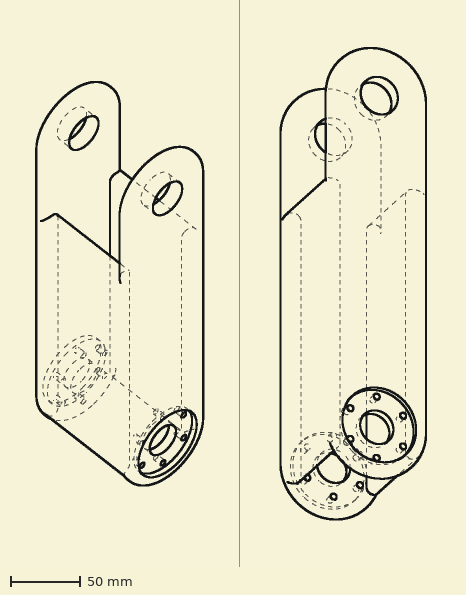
import cadquery as cq
import math

length = 330.2
width = 101.7
depth = 76.3

wall = 12.7
end_radius = depth / 2
bottom_axis_z = end_radius
top_axis_z = length - end_radius
gap = width - 2 * wall
web_spacing = depth - 2 * wall
web_bottom_z = 20.5
web_top_z = length - width

outer_fillet = 5.5
inner_fillet = 5.0

top_bore = 28.7
bottom_bore = 25.8
recess_diameter = 57.0
recess_depth = 5.0
bolt_hole = 4.5
bolt_circle = 47.2
bolt_count = 6

tolerance = 0.03


def x_cylinder(diameter, z, x_start, x_length):
    """Cylinder along X, starting at x_start, with its axis at height z."""
    return (
        cq.Workplane("YZ", origin=(x_start, 0, z))
        .circle(diameter / 2)
        .extrude(x_length)
    )


def rounded_bar():
    """Solid bar with semicircular ends and rounded outer side edges."""
    return (
        cq.Workplane("YZ", origin=(-width / 2, 0, length / 2))
        .slot2D(length, depth, 90)
        .extrude(width)
        .faces("<X or >X")
        .edges()
        .fillet(outer_fillet)
    )


def gap_block(block_depth, z_low, z_high):
    """Block filling the gap between the plates from z_low to z_high."""
    return cq.Workplane("XY", origin=(0, 0, z_low)).box(
        gap, block_depth, z_high - z_low, centered=(True, True, False)
    )


def open_edges(body, z_low, z_high, left_sharp=None):
    """Convex edges around one fork opening; the plate-to-web corners run along Y and are left sharp."""
    box = cq.selectors.BoxSelector(
        (-gap / 2 - tolerance, -depth, z_low - tolerance),
        (gap / 2 + tolerance, depth, z_high + tolerance),
        boundingbox=True,
    )
    selector = box - cq.selectors.ParallelDirSelector(cq.Vector(0, 1, 0))
    if left_sharp is not None:
        selector = selector - left_sharp
    return body.edges(selector)


def hollow_edges(z):
    """Selector for the two inner web edges along X at height z."""
    y_limit = web_spacing / 2 + tolerance
    return cq.selectors.BoxSelector(
        (-gap, -y_limit, z - tolerance),
        (gap, y_limit, z + tolerance),
        boundingbox=True,
    )


def bottom_edge_rounding():
    """Corner strips that leave the inner bottom edges of both webs rounded."""
    inner_y = web_spacing / 2
    arc_center = (inner_y + inner_fillet, web_bottom_z + inner_fillet)
    arc_reach = inner_fillet * math.sqrt(0.5)
    strip = (
        cq.Workplane("YZ", origin=(-gap / 2, 0, 0))
        .moveTo(inner_y, web_bottom_z)
        .lineTo(inner_y, arc_center[1])
        .threePointArc(
            (arc_center[0] - arc_reach, arc_center[1] - arc_reach),
            (arc_center[0], web_bottom_z),
        )
        .close()
        .extrude(gap)
    )
    return strip.union(strip.mirror("XZ"))


body = rounded_bar()
body = body.cut(gap_block(web_spacing, 0, length))
body = body.cut(gap_block(depth, 0, web_bottom_z))
body = body.cut(gap_block(depth, web_top_z, length))

body = open_edges(body, web_top_z, length).fillet(inner_fillet)
body = open_edges(body, 0, web_bottom_z, hollow_edges(web_bottom_z)).fillet(inner_fillet)
body = body.cut(bottom_edge_rounding())

body = body.cut(x_cylinder(top_bore, top_axis_z, -width / 2, width))
body = body.cut(x_cylinder(bottom_bore, bottom_axis_z, -width / 2, width))

for x_start in (-width / 2, width / 2 - recess_depth):
    body = body.cut(x_cylinder(recess_diameter, bottom_axis_z, x_start, recess_depth))

bolt_holes = (
    cq.Workplane("YZ", origin=(-width / 2, 0, bottom_axis_z))
    .polarArray(bolt_circle / 2, 90, 360, bolt_count)
    .circle(bolt_hole / 2)
    .extrude(width)
)
result = body.cut(bolt_holes)